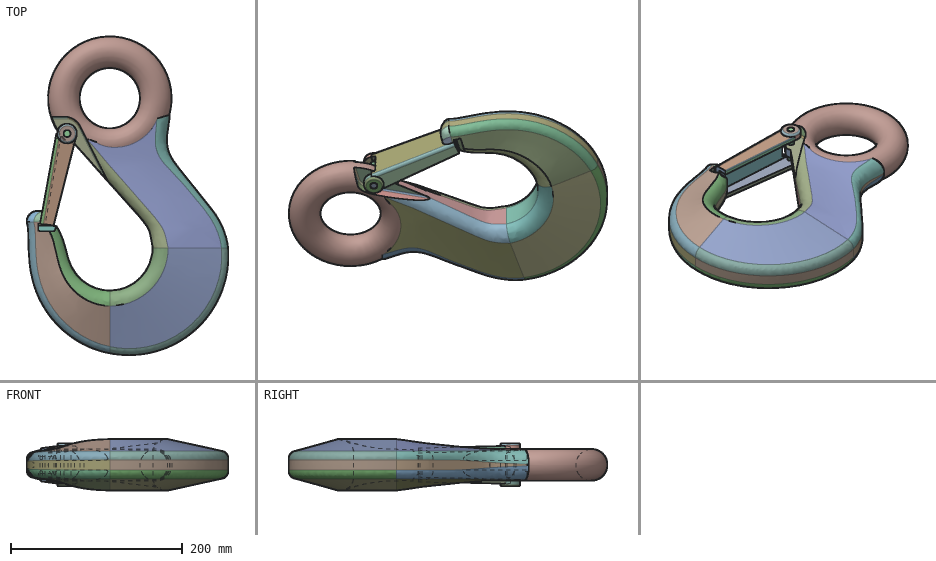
import cadquery as cq
import math


EYE_Y = 174.0
EYE_TUBE_R = 18.5
EYE_RING_R = 53.5

BOWL_R = 49.7
THROAT_ANGLE = 41.7
THROAT_LENGTH = 118.0
BACK_X, BACK_Y, BACK_R = 22.3, -9.3, 115.7
SHOULDER_R = 84.5
SHOULDER_X = BACK_X + BACK_R - SHOULDER_R
NECK_R = 78.0
NECK_X, NECK_Y = 144.3, 133.5
STRAIGHT_LENGTH = 56.0
NECK_ANGLE = 38.6
LIP_ANGLE = -168.5
LIP_R = 107.5
TIP_LEAN = 0.085
TIP_R = 13.0
TIP_Y = 30.0
DOME_END_DROP = 3.7

CREST_HALF = 30.0
THROAT_CREST_HALF = 25.2
TIP_CREST_HALF = 18.0
EDGE_HALF = 16.5
TIP_EDGE_HALF = 15.2
INNER_DROP = 14.5
INNER_INSET = 17.8
THROAT_INSET = 15.5
TIP_INSET = 12.0
OUTER_DROP = 10.5
OUTER_INSET = 8.0
NECK_EDGE_HALF = 17.5
NECK_ROUND = 17.0
SHANK_STEPS = 5
SINK_END = 0.7
SWELL_START = 0.3

PIN_X, PIN_Y = -49.7, 132.8
PIN_DIAMETER = 8.0
PIN_DIMPLE = 0.7
BOSS_R = 11.5
BOSS_HALF = 25.2
BOSS_FILLET = 2.2
EAR_HALF = 22.3
LATCH_END_HALF = 19.5
LATCH_WALL = 5.5
BEND_R = 3.7
SIDE_FILLET = 1.0
LATCH_TOP_Y = PIN_Y
WEB_TOP_X, FLANGE_TOP_X = -62.5, -38.2
WEB_END_X, WEB_END_Y = -81.2, 28.0
FLANGE_END_X, FLANGE_END_Y = -65.3, 25.5
WEB_LEAN = (WEB_TOP_X - WEB_END_X) / (LATCH_TOP_Y - WEB_END_Y)
WEB_FACE = ">(-1, 0.2, 0)"
FLANGE_FACE = ">(1, -0.3, 0)"
WEB_SLOT_HALF = 14.5
WEB_SLOT_DEPTH = 5.5
WEB_SLOT_FILLET = 2.5

TAB_HALF = 5.5
LEDGE_Y = 152.0
POCKET_ARC_START = (-49.0, LEDGE_Y)
POCKET_ARC_MID = (-39.7, 147.5)
POCKET_ARC_END = (-33.8, 139.5)
POCKET_END_X, POCKET_END_Y = 2.5, 67.5
POCKET_FILLET = 2.0
SEAT_HEIGHT = 18.5
SEAT_FALL = 2.2
SEAT_BEVEL = 6.3
SEAT_CORNER = 2.2

REACH = 74.0


def polar(x, y, radius, angle):
    """Point at an angle in degrees on a circle."""
    a = math.radians(angle)
    return (x + radius * math.cos(a), y + radius * math.sin(a))


def ray_hit(angle, x, y, radius):
    """Where a ray from the bowl centre leaves a circle that surrounds that centre."""
    ux, uy = polar(0, 0, 1, angle)
    along = ux * x + uy * y
    reach = along + math.sqrt(along**2 - x**2 - y**2 + radius**2)
    return (reach * ux, reach * uy)


def blend(start, end, t):
    return start + (end - start) * t


def throat_point(distance):
    """Point on the straight throat edge, measured from the end of the bowl arc."""
    x, y = polar(0, 0, BOWL_R, THROAT_ANGLE)
    return polar(x, y, distance, THROAT_ANGLE + 90)


def lip_x(y):
    """X of the outward curving lip arc at a height Y."""
    cx, cy = polar(0, 0, BOWL_R + LIP_R, LIP_ANGLE)
    return cx + math.sqrt(LIP_R**2 - (y - cy) ** 2)


def tip_outer_x(y):
    """X of the straight outer edge of the tip at a height Y."""
    return BACK_X - BACK_R - TIP_LEAN * (y - BACK_Y)


def section(inner, outer, crest, edge, inner_inset, outer_inset, outer_drop, inner_drop=INNER_DROP):
    """Upright closed section: flat inner and outer edges, rounded corners, sloping faces."""
    dx, dy = outer[0] - inner[0], outer[1] - inner[1]
    length = math.hypot(dx, dy)
    plane = cq.Plane(origin=(*inner, 0), xDir=(dx, dy, 0), normal=(dy, -dx, 0))
    inner_flat, outer_flat = crest - inner_drop, edge - outer_drop
    near = 1 - math.sqrt(0.5)
    inner_mid = (inner_inset * near, crest - inner_drop * near)
    outer_mid = (length - outer_inset * near, edge - outer_drop * near)
    return (
        cq.Workplane(plane)
        .moveTo(0, -inner_flat)
        .lineTo(0, inner_flat)
        .threePointArc(inner_mid, (inner_inset, crest))
        .lineTo(length - outer_inset, edge)
        .threePointArc(outer_mid, (length, outer_flat))
        .lineTo(length, -outer_flat)
        .threePointArc((outer_mid[0], -outer_mid[1]), (length - outer_inset, -edge))
        .lineTo(inner_inset, -crest)
        .threePointArc((inner_mid[0], -inner_mid[1]), (0, -inner_flat))
        .close()
        .val()
    )


def tip_sections():
    """Domed point of the hook, as a dome and the short arm below it."""
    dome, arm = [], []
    dome_x = tip_outer_x(TIP_Y) + TIP_R
    for angle in (35, 60, 80):
        outer_x, y = polar(dome_x, TIP_Y, TIP_R, 180 - angle)
        shrink = OUTER_DROP * (1 - math.cos(math.radians(angle)))
        crest, edge = TIP_CREST_HALF - shrink, TIP_EDGE_HALF - shrink
        inner = (lip_x(TIP_Y), y)
        drop = blend(OUTER_DROP, DOME_END_DROP, shrink / OUTER_DROP)
        dome.append(section(inner, (outer_x, y), crest, edge, TIP_INSET, OUTER_INSET, drop, drop))
    for y in (TIP_Y / 5, TIP_Y):
        outer = (tip_outer_x(y), y)
        arm.append(section(
            (lip_x(y), y), outer, TIP_CREST_HALF, TIP_EDGE_HALF, TIP_INSET, OUTER_INSET, OUTER_DROP))
    return dome, arm


def bowl_section(angle):
    """Radial section beside the bowl; the ridge falls off towards the tip and the throat."""
    inner = polar(0, 0, BOWL_R, angle)
    if angle > 0:
        fall = angle / THROAT_ANGLE
        crest = blend(CREST_HALF, THROAT_CREST_HALF, fall)
        inset = blend(INNER_INSET, THROAT_INSET, fall)
        outer = polar(SHOULDER_X, BACK_Y, SHOULDER_R, NECK_ANGLE * fall)
        return section(inner, outer, crest, EDGE_HALF, inset, OUTER_INSET, OUTER_DROP)
    rise = math.sin(math.radians(angle)) ** 2 if angle < -90 else 1
    crest = blend(TIP_CREST_HALF, CREST_HALF, rise)
    edge = blend(TIP_EDGE_HALF, EDGE_HALF, rise)
    inset = blend(TIP_INSET, INNER_INSET, rise)
    outer = ray_hit(angle, BACK_X, BACK_Y, BACK_R)
    return section(inner, outer, crest, edge, inset, OUTER_INSET, OUTER_DROP)


def outer_shank_point(distance):
    """Point on the outer edge above the shoulder: a straight stretch, then the neck arc."""
    shoulder = polar(SHOULDER_X, BACK_Y, SHOULDER_R, NECK_ANGLE)
    if distance < STRAIGHT_LENGTH:
        return polar(*shoulder, distance, NECK_ANGLE + 90)
    turn = math.degrees((distance - STRAIGHT_LENGTH) / NECK_R)
    return polar(NECK_X, NECK_Y, NECK_R, 180 + NECK_ANGLE - turn)


def shank_sections():
    """Sections from the eye down to the bowl; the ridge sinks to the eye's thickness on the way."""
    neck_turn = NECK_ANGLE + math.degrees(math.atan2(EYE_Y - NECK_Y, NECK_X))
    outer_length = STRAIGHT_LENGTH + NECK_R * math.radians(neck_turn)
    sections = []
    for i in range(SHANK_STEPS, -1, -1):
        t = i / SHANK_STEPS
        crest = blend(THROAT_CREST_HALF, EYE_TUBE_R, min(1, t / SINK_END))
        swell = max(0, (t - SWELL_START) / (1 - SWELL_START))
        edge = blend(EDGE_HALF, NECK_EDGE_HALF, swell)
        inset = blend(OUTER_INSET, NECK_ROUND, swell)
        drop = blend(OUTER_DROP, NECK_ROUND, swell)
        inner, outer = throat_point(THROAT_LENGTH * t), outer_shank_point(outer_length * t)
        sections.append(section(inner, outer, crest, edge, THROAT_INSET, inset, drop))
    return sections


def prism(outline, low, high):
    return outline.extrude(high - low).translate((0, 0, low))


def eye_ring():
    centre = cq.Vector(0, EYE_Y, 0)
    return cq.Workplane(cq.Solid.makeTorus(EYE_RING_R, EYE_TUBE_R, centre, cq.Vector(0, 0, 1)))


def throat_clearance():
    """Space beside the straight throat edge, below the pin tab."""
    x, y = throat_point(THROAT_LENGTH)
    low_x, low_y = throat_point(0)
    outline = cq.Workplane().polyline([(x, y), (low_x, low_y), (x, low_y), (x - EYE_TUBE_R, y)]).close()
    return prism(outline, -REACH, REACH)


def latch_pocket():
    """Pocket over the upper side of the tab; its wall runs from the ledge down to the throat."""
    outline = (
        cq.Workplane()
        .moveTo(*POCKET_ARC_START)
        .threePointArc(POCKET_ARC_MID, POCKET_ARC_END)
        .lineTo(POCKET_END_X, POCKET_END_Y)
        .lineTo(-REACH, POCKET_END_Y)
        .lineTo(-REACH - EYE_TUBE_R, LEDGE_Y)
        .close()
    )
    return prism(outline, TAB_HALF, REACH).faces("<Z").edges().fillet(POCKET_FILLET)


def tip_seat():
    """Notch inside the tip: its wall backs the latch and its floor carries the latch end."""
    outline = cq.Workplane().polyline([
        (WEB_END_X, WEB_END_Y),
        (WEB_END_X + WEB_LEAN * SEAT_HEIGHT, WEB_END_Y + SEAT_HEIGHT),
        (FLANGE_END_X + EYE_TUBE_R, WEB_END_Y + SEAT_HEIGHT),
        (FLANGE_END_X + EYE_TUBE_R, FLANGE_END_Y - SEAT_FALL),
        (FLANGE_END_X, FLANGE_END_Y),
    ]).close()
    bevel = cq.Workplane("YZ").polyline([
        (FLANGE_END_Y, EDGE_HALF - SEAT_BEVEL),
        (FLANGE_END_Y - SEAT_BEVEL, EDGE_HALF),
        (FLANGE_END_Y - SEAT_BEVEL, REACH),
        (WEB_END_Y, REACH),
        (WEB_END_Y, EDGE_HALF - SEAT_BEVEL),
    ]).close().extrude(REACH).translate((WEB_END_X - SEAT_CORNER, 0, 0))
    return prism(outline, -REACH, REACH).union(bevel).union(bevel.mirror("XY"))


def lofted_body():
    """Hook without the eye: four smooth stretches, each ending on the section that starts the next."""
    dome, arm = tip_sections()
    stretches = [
        shank_sections() + [bowl_section(a) for a in (20, 0)],
        [bowl_section(a) for a in (0, -22, -44, -67, -90)],
        [bowl_section(a) for a in (-90, -112, -135, -158)] + arm,
        [arm[-1]] + dome,
    ]
    body = cq.Workplane()
    for sections in stretches:
        body = body.add(cq.Solid.makeLoft(sections))
    return body.combine()


def make_hook():
    ring = eye_ring()
    hole = cq.Workplane().center(0, EYE_Y).circle(EYE_RING_R).extrude(REACH, both=True).cut(ring)
    pocket = latch_pocket()
    pin_hole = cq.Workplane().center(PIN_X, PIN_Y).circle(PIN_DIAMETER / 2).extrude(REACH, both=True)
    return (
        lofted_body()
        .cut(hole)
        .union(ring.cut(throat_clearance()))
        .cut(pocket)
        .cut(pocket.mirror("XY"))
        .cut(tip_seat())
        .cut(pin_hole)
    )


def latch_filling(inset):
    """Tapering solid between the latch's two sides, with web and sides moved in by an inset."""
    web_shift = inset * math.hypot(1, WEB_LEAN)
    plan = cq.Workplane().polyline([
        (WEB_TOP_X + web_shift, LATCH_TOP_Y),
        (WEB_END_X + web_shift, WEB_END_Y),
        (FLANGE_END_X, FLANGE_END_Y),
        (FLANGE_TOP_X, LATCH_TOP_Y),
    ]).close()
    top_half, end_half = EAR_HALF - inset, LATCH_END_HALF - inset
    taper = cq.Workplane("YZ").polyline([
        (LATCH_TOP_Y, -top_half),
        (LATCH_TOP_Y, top_half),
        (FLANGE_END_Y, end_half),
        (FLANGE_END_Y, -end_half),
    ]).close().extrude(REACH * 2, both=True)
    return prism(plan, -REACH, REACH).intersect(taper)


def latch_channel():
    """Channel whose web faces outwards and whose two sides reach towards the throat."""
    outside = (
        latch_filling(0)
        .faces(WEB_FACE).edges("not |Z").fillet(BEND_R)
        .faces(FLANGE_FACE).edges("not |Z").fillet(SIDE_FILLET)
    )
    slot_height = 2 * WEB_SLOT_DEPTH
    slot = (
        cq.Workplane()
        .box(REACH, slot_height, 2 * WEB_SLOT_HALF)
        .edges("|X and <Y")
        .fillet(WEB_SLOT_FILLET)
        .translate((WEB_TOP_X, LATCH_TOP_Y, 0))
    )
    return outside.cut(latch_filling(LATCH_WALL)).cut(slot)


def latch_ear():
    """Ear around the pin, with a raised round boss that has a shallow dimple over the pin."""
    circle = cq.Workplane().center(PIN_X, PIN_Y)
    ear = prism(circle.circle(BOSS_R), EAR_HALF - LATCH_WALL, BOSS_HALF)
    dimple = prism(circle.circle(PIN_DIAMETER / 2), BOSS_HALF - PIN_DIMPLE, BOSS_HALF)
    return ear.faces(">Z").edges().fillet(BOSS_FILLET).cut(dimple)


def make_latch():
    ear = latch_ear()
    pin = prism(cq.Workplane().center(PIN_X, PIN_Y).circle(PIN_DIAMETER / 2), -EAR_HALF, EAR_HALF)
    return latch_channel().union(ear).union(ear.mirror("XY")).union(pin)


hook = make_hook()
latch = make_latch()
result = cq.Compound.makeCompound([hook.val(), latch.val()])